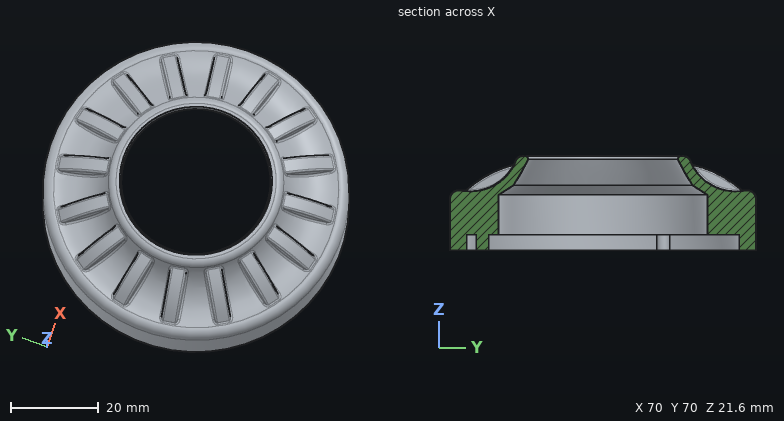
import cadquery as cq
import math

outer_radius = 35.0
total_height = 21.55

shoulder_start_height = 11.7
shoulder_round = 2.1
shoulder_end_radius = 32.55
shoulder_end_height = 13.7

slope_round = 11.2
neck_radius = 20.0
neck_height = 20.3
neck_round = 1.75
lip_flat_radius = 18.3

opening_radius = 17.0
opening_bevel_width = 0.4
opening_bevel_height = 0.7

bore_diameter = 47.7
recess_diameter = 62.2
recess_depth = 3.6
bore_top_height = 12.7
steep_cone_radius = 20.45
steep_cone_height = 14.85

rib_count = 16
rib_first_angle = 8.6
rib_width = 3.7
rib_inner_radius = 20.0
rib_inner_height = 19.7
rib_outer_radius = 32.1
rib_outer_height = 13.45
rib_crown_round = 25.2
rib_edge_round = 0.5
rib_root_round = 0.5
rib_embedding = 0.7

pin_count = 3
pin_first_angle = 30.0
pin_diameter = 3.0
pin_embedding = 0.7
pin_circle_radius = (bore_diameter + recess_diameter) / 4


def arc_center(start, end, radius):
    """Center of the arc lying above the chord between two (radius, height) points."""
    chord_r = end[0] - start[0]
    chord_z = end[1] - start[1]
    chord = math.hypot(chord_r, chord_z)
    offset = math.sqrt(radius**2 - chord**2 / 4)
    return (
        (start[0] + end[0]) / 2 - chord_z / chord * offset,
        (start[1] + end[1]) / 2 + chord_r / chord * offset,
    )


neck_point = (neck_radius, neck_height)
shoulder_point = (shoulder_end_radius, shoulder_end_height)
slope_center = arc_center(neck_point, shoulder_point, slope_round)


def body():
    """Ring of revolution: shouldered wall, concave slope, neck and coned bore."""
    bore_radius = bore_diameter / 2
    recess_radius = recess_diameter / 2
    profile = (
        cq.Workplane("XZ")
        .moveTo(recess_radius, 0)
        .lineTo(outer_radius, 0)
        .lineTo(outer_radius, shoulder_start_height)
        .radiusArc(shoulder_point, -shoulder_round)
        .radiusArc(neck_point, slope_round)
        .radiusArc((lip_flat_radius, total_height), -neck_round)
        .lineTo(opening_radius + opening_bevel_width, total_height)
        .lineTo(opening_radius, total_height - opening_bevel_height)
        .lineTo(steep_cone_radius, steep_cone_height)
        .lineTo(bore_radius, bore_top_height)
        .lineTo(bore_radius, recess_depth)
        .lineTo(recess_radius, recess_depth)
        .close()
    )
    return profile.revolve(360, (0, 0, 0), (0, 1, 0))


def rib():
    """Rib along +X with a convex, round-edged crown; its base is buried in the slope."""
    center_r, center_z = slope_center
    base_round = slope_round + rib_embedding

    def base_point(radius):
        return (radius, center_z - math.sqrt(base_round**2 - (center_r - radius) ** 2))

    return (
        cq.Workplane("XZ")
        .moveTo(rib_inner_radius, rib_inner_height)
        .radiusArc((rib_outer_radius, rib_outer_height), rib_crown_round)
        .lineTo(*base_point(rib_outer_radius))
        .radiusArc(base_point(rib_inner_radius), base_round)
        .close()
        .extrude(rib_width / 2, both=True)
        .edges("%CIRCLE")
        .edges(">Z")
        .fillet(rib_edge_round)
    )


def pins():
    """Round pins from the recess floor down to the bottom plane."""
    return (
        cq.Workplane("XY")
        .polarArray(pin_circle_radius, pin_first_angle, 360, pin_count)
        .circle(pin_diameter / 2)
        .extrude(recess_depth + pin_embedding)
    )


result = body()
for index in range(rib_count):
    angle = rib_first_angle + index * 360 / rib_count
    result = result.union(rib().rotate((0, 0, 0), (0, 0, 1), angle))

result = result.edges("%BSPLINE").fillet(rib_root_round)
result = result.union(pins())